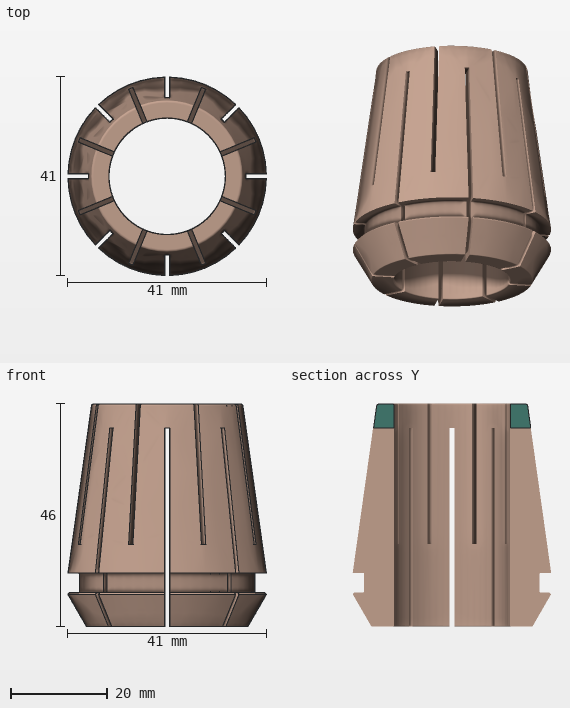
import cadquery as cq
import math

height = 46.0
outer_diameter = 41.0
bore_diameter = 24.0
cone_half_angle = 8.0
nose_half_angle = 30.0
rim_height = 6.65
rim_chamfer = 0.35
groove_top = 11.1
groove_diameter = 36.25
top_round = 0.5
edge_break = 0.2

slot_count = 8
slot_width = 0.95
lower_slot_top = 41.0
upper_slot_bottom = 17.0

slot_pitch = 360 / slot_count
groove_bottom = rim_height + rim_chamfer
outer_radius = outer_diameter / 2
bore_radius = bore_diameter / 2
groove_radius = groove_diameter / 2
nose_radius = outer_radius - rim_height * math.tan(math.radians(nose_half_angle))
top_radius = outer_radius - (height - groove_top) * math.tan(math.radians(cone_half_angle))


def collet_body():
    """Tapered sleeve with a nose flange and an extraction groove."""
    profile = (
        cq.Workplane("XZ")
        .moveTo(bore_radius, 0)
        .lineTo(nose_radius, 0)
        .lineTo(outer_radius, rim_height)
        .lineTo(outer_radius - rim_chamfer, groove_bottom)
        .lineTo(groove_radius, groove_bottom)
        .lineTo(groove_radius, groove_top)
        .lineTo(outer_radius, groove_top)
        .lineTo(top_radius, height)
        .lineTo(bore_radius, height)
        .close()
    )
    return profile.revolve(360, (0, 0, 0), (0, 1, 0))


def round_edge(body, radius, level, round_radius):
    """Round the circular edge of the given radius at the given height."""
    reach = radius + edge_break
    slab = cq.selectors.BoxSelector(
        (-reach, -reach, level - edge_break / 2),
        (reach, reach, level + edge_break / 2),
        boundingbox=True,
    )
    widest = cq.selectors.RadiusNthSelector(-1)
    return body.edges(slab).edges(widest).fillet(round_radius)


def slot_set(bottom, top, first_angle):
    """Ring of radial cutters, each running from the axis out through the wall."""
    cutter = (
        cq.Workplane("XY")
        .box(outer_diameter, slot_width, top - bottom, centered=(False, True, False))
        .translate((0, 0, bottom))
    )
    cutters = cq.Workplane("XY")
    for index in range(slot_count):
        angle = first_angle + index * slot_pitch
        cutters = cutters.add(cutter.rotate((0, 0, 0), (0, 0, 1), angle))
    return cutters.combine()


lower_slots = slot_set(0, lower_slot_top, 0)
upper_slots = slot_set(upper_slot_bottom, height, slot_pitch / 2)

body = collet_body()
body = round_edge(body, top_radius, height, top_round)
for radius, level in (
    (bore_radius, height),
    (bore_radius, 0),
    (nose_radius, 0),
    (groove_radius, groove_bottom),
    (groove_radius, groove_top),
):
    body = round_edge(body, radius, level, edge_break)

result = body.cut(lower_slots).cut(upper_slots)